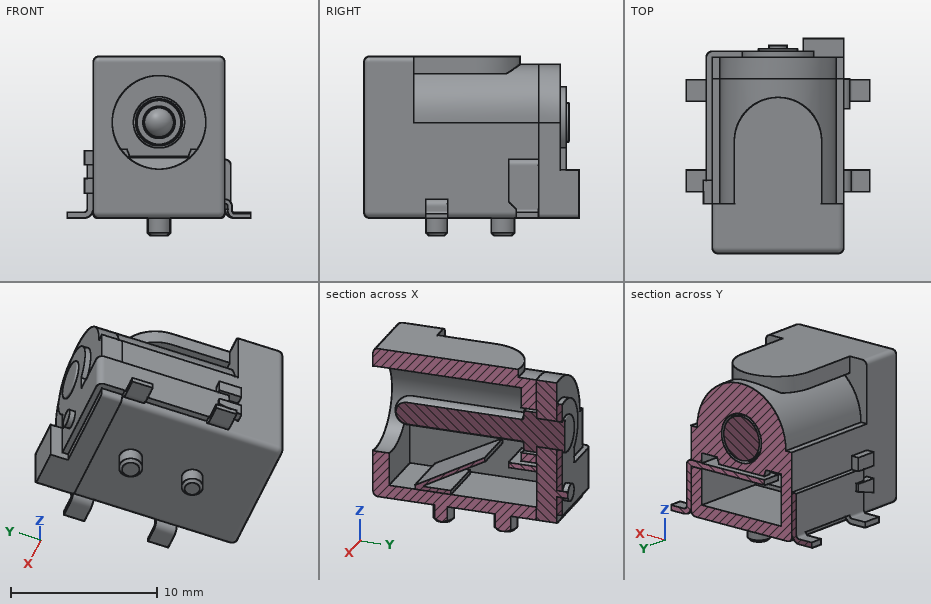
import cadquery as cq
import math


width = 9.0
half_width = width / 2
height = 11.05
block_length = 3.4
housing_length = 11.94
edge_radius = 0.41
axis_z = 6.54
shelf_z = 6.51
barrel_diameter = 7.94

pad_width = 5.97
pad_end_y = 10.67
pad_bottom_z = 9.85

plug_hole_diameter = 6.4
plug_hole_depth = 10.79
collar_hole_diameter = 3.5
pocket_start_y = 1.2
pocket_half_width = 3.5
pocket_floor_z = 1.0
pocket_top_z = 4.72
tab_bottom_z = 4.23
tab_top_half_width = 2.19
tab_bottom_half_width = 2.01

peg_length = 1.2
peg_chamfer = 0.2
front_peg_diameter = 1.45
front_peg_y = 4.97
rear_peg_diameter = 1.6
rear_peg_y = 9.5

retainer_reach = 0.6
retainer_rear_y = 5.01
lower_retainer_top_z = 2.72
lower_retainer_rear_z = 2.15
lower_retainer_front_z = 1.69
upper_retainer_top_z = 4.62

cover_end_y = 13.42
cover_edge_radius = 0.3
lug_inner_x = 1.72
lug_end_y = 14.7
lug_height = 3.3
stake_diameter = 1.23
stake_z = 2.2
stake_end_y = 14.23

sheet = 0.41
sheet_bend = 0.2
foot_end_x = 6.28
foot_width = 1.5
front_foot_y = 4.97
rear_foot_y = 11.14

terminal_front_y = front_foot_y - foot_width / 2
terminal_bottom_z = sheet + sheet_bend
terminal_top_z = 3.63
terminal_disc_diameter = 4.9
terminal_neck_half_width = lug_inner_x
terminal_neck_fillet = 0.1
terminal_wrap_radius = 0.44
terminal_end_y = cover_end_y + sheet

switch_front_y = 9.9
switch_top_z = 4.01
switch_inner_x = -2.06

spring_sheet = 0.3
spring_gap = 0.2
spring_half_width = 3.38
spring_tip_half_width = 2.94
spring_fold_y = 3.07
spring_tip_z = 4.13
spring_slope = math.radians(29)

pin_diameter = 2.0
pin_tip_y = 1.5
pin_root_diameter = 2.2
collar_diameter = 3.2
collar_chamfer = 0.1
collar_front_y = 11.0
rivet_shank_diameter = 2.35
rivet_head_diameter = 2.69
rivet_head_thickness = 0.18

diagonal = math.sqrt(0.5)


def box(x_range, y_range, z_range):
    """Axis-aligned box between pairs of coordinates."""
    lows, highs = zip(x_range, y_range, z_range)
    sizes = [high - low for low, high in zip(lows, highs)]
    return cq.Workplane("XY").box(*sizes, centered=False).translate(lows)


def rod(diameter, y_range, z=axis_z):
    """Cylinder along Y at X = 0."""
    start, end = y_range
    plane = cq.Workplane("XZ", origin=(0, start, z))
    return plane.circle(diameter / 2).extrude(start - end)


def side_profile(points, x_range):
    """Polygon of (Y, Z) points, extruded from one X to another."""
    start, end = x_range
    plane = cq.Workplane("YZ", origin=(start, 0, 0))
    return plane.polyline(points).close().extrude(end - start)


def rear_profile(points, y_range):
    """Polygon of (X, Z) points, extruded from one Y to another."""
    start, end = y_range
    plane = cq.Workplane("XZ", origin=(0, start, 0))
    return plane.polyline(points).close().extrude(start - end)


def foot(center_y, leg_inner_x, leg_top_z, thickness, bend):
    """Vertical leg on the +X side that bends outward into a foot lying on Z = 0."""
    leg_outer_x = leg_inner_x + thickness
    bend_z = thickness + bend
    center_x = leg_outer_x + bend
    inner_mid = (center_x - bend * diagonal, bend_z - bend * diagonal)
    outer_mid = (center_x - bend_z * diagonal, bend_z - bend_z * diagonal)
    return (
        cq.Workplane("XZ", origin=(0, center_y + foot_width / 2, 0))
        .moveTo(leg_inner_x, leg_top_z)
        .lineTo(leg_outer_x, leg_top_z)
        .lineTo(leg_outer_x, bend_z)
        .threePointArc(inner_mid, (center_x, thickness))
        .lineTo(foot_end_x, thickness)
        .lineTo(foot_end_x, 0)
        .lineTo(center_x, 0)
        .threePointArc(outer_mid, (leg_inner_x, bend_z))
        .close()
        .extrude(foot_width)
    )


def board_peg(diameter, y):
    """Chamfered locating peg below the housing."""
    peg = cq.Workplane("XY", origin=(0, y, 0)).circle(diameter / 2).extrude(-peg_length)
    return peg.faces("<Z").chamfer(peg_chamfer)


def make_shell():
    """Rounded front block, lower body, barrel and arched pad."""
    block = box((-half_width, half_width), (0, housing_length), (0, height))
    block = block.edges("|Y").fillet(edge_radius).faces("<Y").edges().fillet(edge_radius)
    above_shelves = box((-half_width, half_width), (block_length, housing_length), (shelf_z, height))
    shell = block.cut(above_shelves).union(rod(barrel_diameter, (block_length, housing_length)))

    pad_center_y = pad_end_y - pad_width / 2
    pad = box((-pad_width / 2, pad_width / 2), (block_length, pad_center_y), (pad_bottom_z, height))
    pad_end = (
        cq.Workplane("XY", origin=(0, pad_center_y, pad_bottom_z))
        .circle(pad_width / 2)
        .extrude(height - pad_bottom_z)
    )
    return shell.union(pad).union(pad_end)


def make_pocket():
    """Space for the spring, open at the cover joint, less the tab below the rear wall."""
    pocket = box(
        (-pocket_half_width, pocket_half_width),
        (pocket_start_y, housing_length),
        (pocket_floor_z, pocket_top_z),
    )
    tab = rear_profile(
        [
            (-tab_top_half_width, pocket_top_z),
            (tab_top_half_width, pocket_top_z),
            (tab_bottom_half_width, tab_bottom_z),
            (-tab_bottom_half_width, tab_bottom_z),
        ],
        (plug_hole_depth, housing_length),
    )
    return pocket.cut(tab)


def make_retainers():
    """Two blocks that hold the front end of the pin terminal."""
    outer_x = -half_width - retainer_reach
    upper = box(
        (outer_x, -half_width),
        (block_length, retainer_rear_y),
        (terminal_top_z, upper_retainer_top_z),
    )
    lower = side_profile(
        [
            (block_length, lower_retainer_front_z),
            (retainer_rear_y, lower_retainer_rear_z),
            (retainer_rear_y, lower_retainer_top_z),
            (block_length, lower_retainer_top_z),
        ],
        (outer_x, -half_width),
    )
    return upper.union(lower)


def make_housing(retainers, spring, switch_contact):
    housing = make_shell()
    housing = housing.cut(rod(plug_hole_diameter, (0, plug_hole_depth)))
    housing = housing.cut(make_pocket())
    housing = housing.cut(rod(collar_hole_diameter, (plug_hole_depth, housing_length)))
    housing = housing.union(retainers)
    housing = housing.union(board_peg(front_peg_diameter, front_peg_y))
    housing = housing.union(board_peg(rear_peg_diameter, rear_peg_y))
    return housing.cut(spring).cut(switch_contact)


def make_cover():
    """Rear cover that continues the housing section, with a lug and a stake."""
    depth_range = (housing_length, cover_end_y)
    cover = box((-half_width, half_width), depth_range, (0, shelf_z))
    cover = cover.edges("|Y and <Z").fillet(cover_edge_radius)
    cover = cover.union(rod(barrel_diameter, depth_range))
    lug = box((lug_inner_x, half_width), (cover_end_y, lug_end_y), (0, lug_height))
    lug = lug.edges("|Y and >X and <Z").fillet(cover_edge_radius)
    stake = rod(stake_diameter, (cover_end_y, stake_end_y), stake_z)
    cover = cover.union(lug).union(stake)
    return cover.cut(rod(rivet_shank_diameter, depth_range))


def make_pin_terminal(retainers):
    """Strip on the -X side that wraps around the cover to a disc under the rivet head."""
    outer_x = -half_width - sheet
    z_range = (terminal_bottom_z, terminal_top_z)
    rear_range = (cover_end_y, terminal_end_y)
    side = box((outer_x, -half_width), (terminal_front_y, terminal_end_y), z_range)
    rear = box((-half_width, terminal_neck_half_width), rear_range, z_range)
    neck = box(
        (-terminal_neck_half_width, terminal_neck_half_width),
        rear_range,
        (terminal_bottom_z, axis_z),
    )
    strip = side.union(rear).union(neck)
    inner_corner = cq.selectors.NearestToPointSelector(
        (-terminal_neck_half_width, (cover_end_y + terminal_end_y) / 2, terminal_top_z)
    )
    strip = strip.edges(inner_corner).fillet(terminal_neck_fillet)
    strip = strip.edges("|Z and <X and >Y").fillet(terminal_wrap_radius)

    terminal = strip.union(rod(terminal_disc_diameter, rear_range))
    terminal = terminal.cut(rod(rivet_shank_diameter, rear_range))
    terminal = terminal.cut(rod(stake_diameter, rear_range, stake_z))
    for foot_y in (front_foot_y, rear_foot_y):
        right_foot = foot(foot_y, half_width, terminal_top_z, sheet, sheet_bend)
        terminal = terminal.union(right_foot.mirror("YZ"))
    return terminal.cut(retainers)


def make_switch_contact():
    """Contact under the spring tip that leaves through the +X wall and bends down to a foot."""
    outer_x = half_width + sheet
    y_range = (switch_front_y, housing_length)
    arm = box((switch_inner_x, outer_x), y_range, (switch_top_z - sheet, switch_top_z))
    taper = rear_foot_y - foot_width / 2 - switch_front_y
    leg = box((half_width, outer_x), y_range, (terminal_bottom_z, switch_top_z))
    leg = leg.edges("|X and <Y and <Z").chamfer(taper)
    contact = arm.union(leg).edges("|Y and >X and >Z").fillet(sheet)
    return contact.union(foot(rear_foot_y, half_width, switch_top_z - sheet, sheet, sheet_bend))


def make_spring():
    """Sleeve spring: a base on the pocket floor, a tongue rising rearward and a +X foot."""
    base_top_z = pocket_floor_z + spring_sheet
    base_end_y = front_foot_y + foot_width / 2
    tip_y = spring_fold_y + (spring_tip_z - base_top_z) / math.tan(spring_slope)
    tongue = side_profile(
        [
            (spring_fold_y, pocket_floor_z),
            (base_end_y, pocket_floor_z),
            (base_end_y, base_top_z),
            (spring_fold_y + spring_sheet / math.sin(spring_slope), base_top_z),
            (tip_y, spring_tip_z - spring_sheet / math.cos(spring_slope)),
            (tip_y, spring_tip_z),
            (spring_fold_y, base_top_z),
        ],
        (-spring_half_width, spring_half_width),
    )
    taper_outline = [
        (-spring_half_width, spring_fold_y),
        (spring_half_width, spring_fold_y),
        (spring_tip_half_width, tip_y),
        (-spring_tip_half_width, tip_y),
    ]
    tongue = tongue.intersect(cq.Workplane("XY").polyline(taper_outline).close().extrude(spring_tip_z))
    leg_inner_x = half_width + spring_gap
    leg_outer_x = leg_inner_x + spring_sheet
    leg_top_z = pocket_floor_z - spring_gap
    bend_radius = spring_gap + spring_sheet
    arm = (
        cq.Workplane("XZ", origin=(0, base_end_y, 0))
        .moveTo(spring_tip_half_width, base_top_z)
        .lineTo(half_width, base_top_z)
        .threePointArc(
            (half_width + bend_radius * diagonal, leg_top_z + bend_radius * diagonal),
            (leg_outer_x, leg_top_z),
        )
        .lineTo(leg_inner_x, leg_top_z)
        .threePointArc(
            (half_width + spring_gap * diagonal, leg_top_z + spring_gap * diagonal),
            (half_width, pocket_floor_z),
        )
        .lineTo(spring_tip_half_width, pocket_floor_z)
        .close()
        .extrude(foot_width)
    )
    leg = foot(front_foot_y, leg_inner_x, leg_top_z, spring_sheet, spring_gap)
    return tongue.union(arm).union(leg)


def make_pin():
    """Round-nosed pin with a chamfered collar, riveted behind the terminal."""
    radius = pin_diameter / 2
    root_radius = pin_root_diameter / 2
    root_flare = root_radius - radius
    collar_radius = collar_diameter / 2
    shank_radius = rivet_shank_diameter / 2
    head_radius = rivet_head_diameter / 2
    rim_radius = rivet_head_thickness / 2
    nose_center_y = pin_tip_y + radius
    nose_diagonal = radius * diagonal
    half_section = (
        cq.Workplane("XY")
        .moveTo(0, pin_tip_y)
        .threePointArc((nose_diagonal, nose_center_y - nose_diagonal), (radius, nose_center_y))
        .lineTo(radius, collar_front_y - root_flare)
        .lineTo(root_radius, collar_front_y)
        .lineTo(collar_radius - collar_chamfer, collar_front_y)
        .lineTo(collar_radius, collar_front_y + collar_chamfer)
        .lineTo(collar_radius, housing_length)
        .lineTo(shank_radius, housing_length)
        .lineTo(shank_radius, terminal_end_y)
        .lineTo(head_radius - rim_radius, terminal_end_y)
        .threePointArc(
            (head_radius, terminal_end_y + rim_radius),
            (head_radius - rim_radius, terminal_end_y + rivet_head_thickness),
        )
        .lineTo(0, terminal_end_y + rivet_head_thickness)
        .close()
    )
    return half_section.revolve(360, (0, 0), (0, 1)).translate((0, 0, axis_z))


retainers = make_retainers()
spring = make_spring()
switch_contact = make_switch_contact()
housing = make_housing(retainers, spring, switch_contact)
cover = make_cover()
pin_terminal = make_pin_terminal(retainers)
pin = make_pin()

result = cq.Compound.makeCompound(
    [
        housing.solids().val(),
        cover.solids().val(),
        pin_terminal.solids().val(),
        switch_contact.solids().val(),
        spring.solids().val(),
        pin.solids().val(),
    ]
)